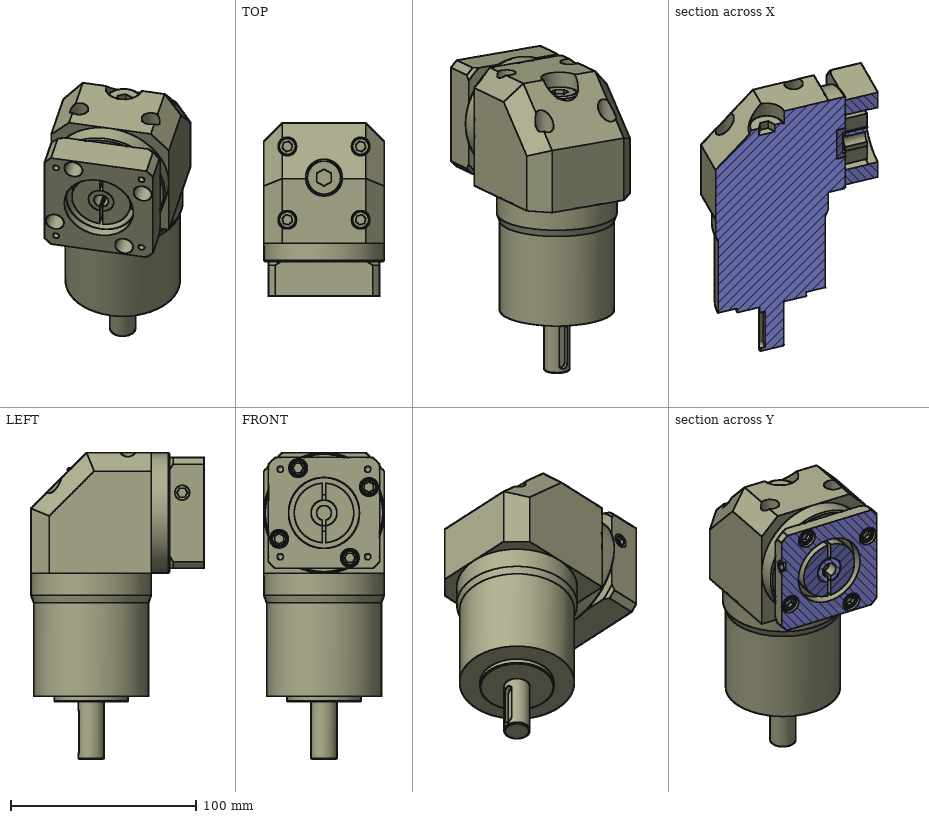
import cadquery as cq
import math


block_side = 65.0
block_half = block_side / 2
bevel = 10.0
slope_start = 2.5

total_height = 165.5
collar_bottom = -44.5
taper_bottom = -48.5
stage_radius = 62.0 / 2
stage_bottom = -99.0
pilot_radius = 20.0
pilot_bottom = -102.0
pilot_chamfer = 0.5
shaft_radius = 14.0 / 2
shaft_chamfer = 0.7
shaft_bottom = block_half - total_height

key_width = 5.0
key_length = 24.8
key_depth = 3.0
key_end_gap = 2.5

flange_length = 10.0
flange_face = -(block_half + flange_length)
flange_chamfer = 0.8

screw_count = 4
screw_circle_radius = 28.0
screw_hole_radius = 5.0
screw_hex = 5.0
screw_hex_depth = 2.5
screw_chamfer = 0.7
block_screw_head_radius = screw_hole_radius
block_screw_depth = block_half
block_screw_start_angle = 45
plate_screw_head_radius = 4.3
plate_screw_depth = 13.2
plate_screw_start_angle = 30

plug_y = 3.0
plug_radius = 10.0
plug_level = 24.5
plug_chamfer = 1.0
plug_hex = 8.0
plug_hex_depth = 5.0

overall_depth = 93.5
plate_front = block_half - overall_depth
plate_thickness = flange_face - plate_front
plate_side = 59.9
plate_corner_radius = 39.9
plate_rear_chamfer = 1.8
motor_pilot_radius = 19.0
motor_pilot_depth = 5.5
hub_clearance_radius = 19.2
motor_hole_spacing = 47.2
motor_hole_radius = 1.7
motor_hole_depth = 10.0
drill_tip_angle = 118

access_y = -49.2
access_z = 11.0
access_radius = 4.0
access_depth = 0.2
access_hex = 5.0
access_hex_depth = 2.5

hub_radius = 16.0
hub_face = plate_front + 6.0
neck_radius = 10.0
neck_length = 5.0
neck_end = flange_face + neck_length
bushing_outer_radius = 7.0
bushing_bore_radius = 4.0
bushing_end = flange_face
hub_bore_end = bushing_end + 1.7
slot_width = 1.7


def y_cylinder(radius, front, back):
    """Cylinder on the input axis between two Y positions."""
    return cq.Workplane("XZ", origin=(0, back, 0)).circle(radius).extrude(back - front)


def hexagon(workplane, across_flats, depth):
    """Hexagonal prism with two corners on the local X axis."""
    across_corners = across_flats / math.cos(math.radians(30))
    return workplane.polygon(6, across_corners).extrude(depth)


def screw_recess(depth, head_radius):
    """Cutter going down from the origin that leaves a chamfered socket screw head on its floor."""
    floor = depth + screw_chamfer
    hole = cq.Workplane("XY").circle(screw_hole_radius).extrude(-floor)
    head = cq.Workplane("XY", origin=(0, 0, -floor)).circle(head_radius).extrude(screw_chamfer, taper=45)
    socket = hexagon(cq.Workplane("XY", origin=(0, 0, -depth)), screw_hex, -screw_hex_depth)
    return hole.cut(head).union(socket)


def screw_circle(depth, head_radius, start_angle):
    """Four screw recesses on the bolt circle, going down from the XY plane."""
    recess = screw_recess(depth, head_radius).translate((screw_circle_radius, 0, 0))
    axis_start, axis_end = (0, 0, 0), (0, 0, 1)
    step = 360 / screw_count
    return [recess.rotate(axis_start, axis_end, start_angle + step * i) for i in range(screw_count)]


def make_block():
    profile = [
        (-block_half, -block_half),
        (block_half, -block_half),
        (block_half, slope_start),
        (slope_start, block_half),
        (-block_half, block_half),
    ]
    block = cq.Workplane("YZ").polyline(profile).close().extrude(block_half, both=True)
    side_edges = block.faces("<X or >X").edges("not(<Z or <Y)")
    return side_edges.chamfer(bevel)


def make_output_stage():
    profile = [
        (0, -block_half),
        (block_half, -block_half),
        (block_half, collar_bottom),
        (stage_radius, taper_bottom),
        (stage_radius, stage_bottom),
        (pilot_radius, stage_bottom),
        (pilot_radius, pilot_bottom + pilot_chamfer),
        (pilot_radius - pilot_chamfer, pilot_bottom),
        (shaft_radius, pilot_bottom),
        (shaft_radius, shaft_bottom + shaft_chamfer),
        (shaft_radius - shaft_chamfer, shaft_bottom),
        (0, shaft_bottom),
    ]
    stage = cq.Workplane("XZ").polyline(profile).close().revolve(360, (0, 0), (0, 1))
    key_centre = shaft_bottom + key_end_gap + key_length / 2
    keyway = (
        cq.Workplane("XZ", origin=(0, shaft_radius, key_centre))
        .slot2D(key_length, key_width, 90)
        .extrude(key_depth)
    )
    return stage.cut(keyway)


def add_filler_plug(block):
    """Open a round recess in the top and leave the chamfered plug with its socket inside it."""
    base = cq.Workplane("XY", origin=(0, plug_y, 0))
    recess = base.circle(plug_radius).extrude(block_half)
    plug = base.circle(plug_radius).extrude(plug_level).faces(">Z").chamfer(plug_chamfer)
    socket_plane = base.workplane(offset=plug_level).transformed(rotate=(0, 0, 30))
    socket = hexagon(socket_plane, plug_hex, -plug_hex_depth)
    return block.cut(recess).union(plug.cut(socket))


def make_gearbox():
    flange = y_cylinder(block_half, flange_face, -block_half).faces("<Y").chamfer(flange_chamfer)
    gearbox = add_filler_plug(make_block()).union(make_output_stage()).union(flange)
    recesses = screw_circle(block_screw_depth, block_screw_head_radius, block_screw_start_angle)
    for recess in recesses:
        gearbox = gearbox.cut(recess.translate((0, 0, block_half)))
    return gearbox.cut(y_cylinder(neck_radius, flange_face, neck_end))


def make_plate_blank():
    """Square plate with turned corners and a chamfer at the rear of each corner."""
    square = (
        cq.Workplane("XZ", origin=(0, flange_face, 0))
        .rect(plate_side, plate_side)
        .extrude(plate_thickness)
    )
    turned = y_cylinder(plate_corner_radius, plate_front, flange_face)
    return square.intersect(turned.faces(">Y").chamfer(plate_rear_chamfer))


def motor_hole():
    """Drilled hole with a conical end, going from the origin towards +Y."""
    tip_length = motor_hole_radius / math.tan(math.radians(drill_tip_angle / 2))
    profile = [
        (0, 0),
        (motor_hole_radius, 0),
        (motor_hole_radius, motor_hole_depth),
        (0, motor_hole_depth + tip_length),
    ]
    return cq.Workplane("XY").polyline(profile).close().revolve(360, (0, 0), (0, 1))


def make_plate():
    plate = make_plate_blank()
    pilot_floor = plate_front + motor_pilot_depth
    plate = plate.cut(y_cylinder(motor_pilot_radius, plate_front, pilot_floor))
    plate = plate.cut(y_cylinder(hub_clearance_radius, pilot_floor, flange_face))

    recesses = screw_circle(plate_screw_depth, plate_screw_head_radius, plate_screw_start_angle)
    for recess in recesses:
        facing_front = recess.rotate((0, 0, 0), (1, 0, 0), 90)
        plate = plate.cut(facing_front.translate((0, plate_front, 0)))

    offset = motor_hole_spacing / 2
    for x in (-offset, offset):
        for z in (-offset, offset):
            plate = plate.cut(motor_hole().translate((x, plate_front, z)))

    side = cq.Workplane("YZ", origin=(-plate_side / 2, access_y, access_z))
    plate = plate.cut(side.circle(access_radius).extrude(access_depth))
    return plate.cut(hexagon(side, access_hex, access_hex_depth))


def make_hub():
    """Split clamp ring with a bored, unsplit neck that seats in the flange."""
    ring = y_cylinder(hub_radius, hub_face, flange_face)
    ring_length = flange_face - hub_face
    slot = cq.Workplane("XY", origin=(0, hub_face + ring_length / 2, 0))
    ring = ring.cut(slot.box(slot_width, ring_length, 2 * hub_radius))
    hub = ring.union(y_cylinder(neck_radius, flange_face, neck_end))
    return hub.cut(y_cylinder(bushing_outer_radius, hub_face, hub_bore_end))


def make_bushing():
    """Sleeve split along its lower side."""
    sleeve = y_cylinder(bushing_outer_radius, hub_face, bushing_end)
    sleeve = sleeve.cut(y_cylinder(bushing_bore_radius, hub_face, bushing_end))
    length = bushing_end - hub_face
    split = cq.Workplane("XY", origin=(0, hub_face + length / 2, -bushing_outer_radius / 2))
    return sleeve.cut(split.box(slot_width, length, bushing_outer_radius))


gearbox = make_gearbox()
adapter_plate = make_plate()
clamp_hub = make_hub()
bushing = make_bushing()

result = cq.Compound.makeCompound(
    [gearbox.val(), adapter_plate.val(), clamp_hub.val(), bushing.val()]
)